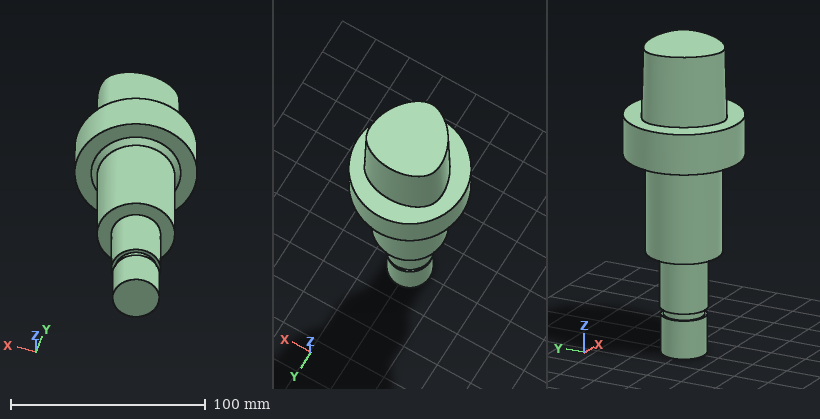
import cadquery as cq
import math

total_length = 168
end_top = 21.0
groove_top = 25.0
journal_top = 55.0
body_top = 105.0
flange_bottom = 108.0
flange_top = 130.0

end_diameter = 24.0
groove_diameter = 21.5
journal_diameter = 25.4
body_diameter = 40.0
flange_diameter = 63.0
cone_diameter = body_diameter + 2 * (flange_bottom - body_top)

shank_base_width = 44.0
shank_taper = 1 / 20
lobe_eccentricity = 1.43
outline_point_count = 72
shank_length = total_length - flange_top
shank_top_width = shank_base_width - shank_taper * shank_length


def frustum(bottom, top, bottom_diameter, top_diameter):
    """Conical section around the Z axis."""
    return (
        cq.Workplane("XY", origin=(0, 0, bottom))
        .circle(bottom_diameter / 2)
        .workplane(offset=top - bottom)
        .circle(top_diameter / 2)
        .loft(ruled=True)
    )


def cylinder(bottom, top, diameter):
    """Round section around the Z axis."""
    return cq.Workplane("XY", origin=(0, 0, bottom)).circle(diameter / 2).extrude(top - bottom)


def lobed_outline_points(width):
    """Points of the three-lobed curve, starting at the lobe that points to -Y."""
    points = []
    for step in range(outline_point_count):
        angle = math.pi - 2 * math.pi * step / outline_point_count
        toward_y = (
            width / 2 * math.cos(angle)
            - lobe_eccentricity * (2 * math.cos(2 * angle) - math.cos(4 * angle))
        )
        toward_x = (
            width / 2 * math.sin(angle)
            + lobe_eccentricity * (2 * math.sin(2 * angle) + math.sin(4 * angle))
        )
        points.append((toward_x, toward_y))
    return points


def lobed_shank():
    """Polygonal taper standing on the flange."""
    return (
        cq.Workplane("XY", origin=(0, 0, flange_top))
        .spline(lobed_outline_points(shank_base_width), periodic=True)
        .wire()
        .workplane(offset=shank_length)
        .spline(lobed_outline_points(shank_top_width), periodic=True)
        .wire()
        .loft(ruled=True)
    )


result = (
    cylinder(0, end_top, end_diameter)
    .union(cylinder(end_top, groove_top, groove_diameter))
    .union(cylinder(groove_top, journal_top, journal_diameter))
    .union(cylinder(journal_top, body_top, body_diameter))
    .union(frustum(body_top, flange_bottom, body_diameter, cone_diameter))
    .union(cylinder(flange_bottom, flange_top, flange_diameter))
    .union(lobed_shank())
)